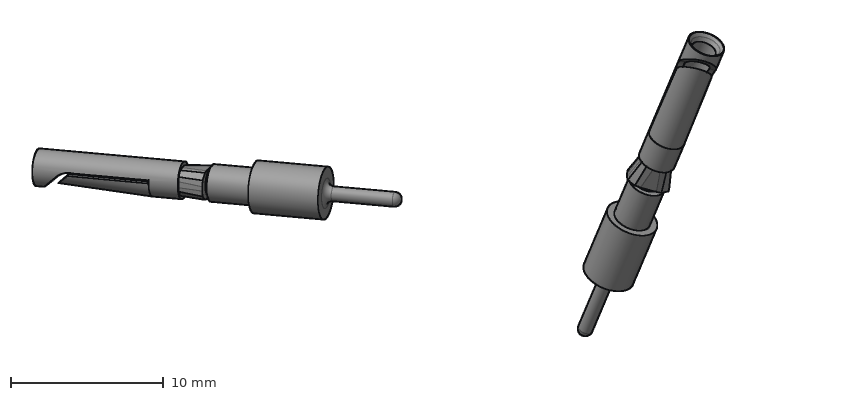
import cadquery as cq
import math

length = 25.0
socket_end = 10.0
barb_end = 11.78
neck_end = 12.0
body_end = 15.0
collar_end = 19.8

socket_radius = 1.25
neck_radius = 0.85
collar_radius = 1.75
pin_radius = 0.5
root_fillet = 0.5

bore_radius = 0.82
mouth_radius = 1.2
flare_radius = 1.0
flare_depth = 0.2
mouth_depth = 0.5
bore_depth = 9.0
drill_point_angle = 118
drill_depth = bore_radius / math.tan(math.radians(drill_point_angle / 2))

tongue_hinge = 8.0
tongue_angle = 3.1
slot_top = 0.18
slot_bottom = -0.05
window_tip = 0.5
window_slope_top = 1.75
window_crest = 2.62
window_slope_height = -0.12
window_bend = (2.12, 0.1)
tongue_tip = 1.1
tongue_shoulder = 2.38

barb_narrow = [(1.02, 0.2), (0.98, 0.5), (0.68, 0.88), (0.22, 0.95)]
barb_wide = [(1.48, 0.15), (1.42, 0.55), (0.92, 0.92), (0.55, 0.98)]


def cylinder(start, end, radius):
    return cq.Workplane("YZ", origin=(start, 0, 0)).circle(radius).extrude(end - start)


def extrude_across(profile):
    return profile.extrude(collar_radius, both=True)


def socket_tube():
    bore = (
        cq.Workplane("XZ")
        .moveTo(0, 0)
        .lineTo(0, mouth_radius)
        .lineTo(flare_depth, flare_radius)
        .lineTo(mouth_depth, bore_radius)
        .lineTo(bore_depth, bore_radius)
        .lineTo(bore_depth + drill_depth, 0)
        .close()
        .revolve(360, (0, 0, 0), (1, 0, 0))
    )
    return cylinder(0, socket_end, socket_radius).cut(bore)


def tongue_window():
    """Opening that frees the tongue: a sloped, rounded front and a flat top."""
    return extrude_across(
        cq.Workplane("XZ")
        .moveTo(window_tip, -socket_radius)
        .lineTo(window_slope_top, window_slope_height)
        .threePointArc(window_bend, (window_crest, slot_top))
        .lineTo(tongue_hinge, slot_top)
        .lineTo(tongue_hinge, -collar_radius)
        .lineTo(window_tip, -collar_radius)
        .close()
    )


def spring_tongue(tube):
    """Part of the tube wall swung inwards about the hinge and trimmed."""
    hinge_start = (tongue_hinge, -socket_radius, -socket_radius)
    hinge_end = (tongue_hinge, socket_radius, -socket_radius)
    bent = tube.rotate(hinge_start, hinge_end, tongue_angle)
    outline = extrude_across(
        cq.Workplane("XZ").polyline([
            (tongue_tip, -socket_radius),
            (tongue_shoulder, slot_bottom),
            (tongue_hinge, slot_bottom),
            (tongue_hinge, -collar_radius),
            (tongue_tip, -collar_radius),
        ]).close()
    )
    return bent.intersect(outline)


def full_outline(quadrant):
    """Complete a quadrant's corners into a closed ring by symmetry."""
    upper = quadrant + [(-y, z) for y, z in reversed(quadrant)]
    return upper + [(-y, -z) for y, z in upper]


def barb():
    return (
        cq.Workplane("YZ", origin=(socket_end, 0, 0))
        .polyline(full_outline(barb_narrow)).close()
        .workplane(offset=barb_end - socket_end)
        .polyline(full_outline(barb_wide)).close()
        .loft(ruled=True)
    )


def pin():
    """Round-ended pin with a concave fillet at its root."""
    fillet_end = collar_end + root_fillet
    diagonal = root_fillet * math.sqrt(0.5)
    dome_diagonal = pin_radius * math.sqrt(0.5)
    dome_start = length - pin_radius
    return (
        cq.Workplane("XZ")
        .moveTo(collar_end, 0)
        .lineTo(collar_end, pin_radius + root_fillet)
        .threePointArc(
            (fillet_end - diagonal, pin_radius + root_fillet - diagonal),
            (fillet_end, pin_radius),
        )
        .lineTo(dome_start, pin_radius)
        .threePointArc((dome_start + dome_diagonal, dome_diagonal), (length, 0))
        .close()
        .revolve(360, (0, 0, 0), (1, 0, 0))
    )


tube = socket_tube()
socket = tube.cut(tongue_window()).union(spring_tongue(tube))
result = (
    socket
    .union(barb())
    .union(cylinder(barb_end, neck_end, neck_radius))
    .union(cylinder(neck_end, body_end, socket_radius))
    .union(cylinder(body_end, collar_end, collar_radius))
    .union(pin())
)